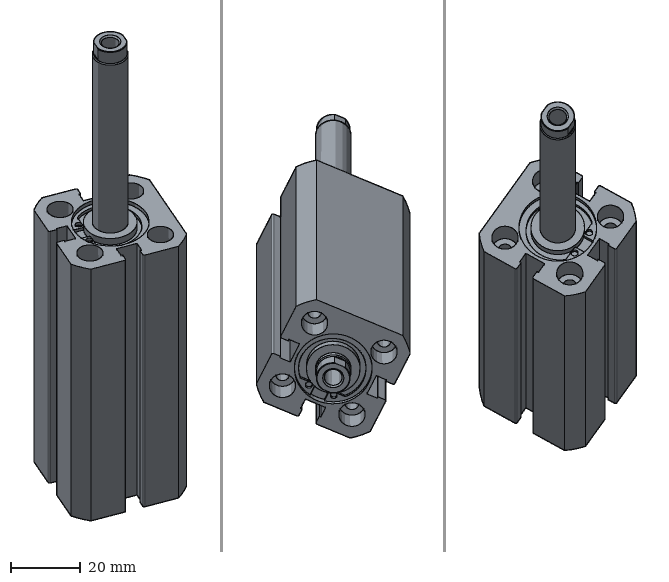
import cadquery as cq
import math

total_length = 164.0
housing_bottom = 6.0
housing_length = 92.0
housing_top = housing_bottom + housing_length

housing_width = 36.0
corner_radius = 22.6
bore_diameter = 22.3

slot_mouth_width = 5.4
slot_inner_width = 6.4
slot_lip_depth = 2.6
slot_depth = 5.9
slot_edge_radius = 0.5

mount_spacing = 22.0
mount_hole_diameter = 4.0
counterbore_diameter = 7.5
counterbore_depth = 7.4

rod_diameter = 10.3
shoulder_chamfer = 0.5
neck_diameter = 9.7
neck_length = 4.1
neck_tip_chamfer = 0.2
flat_width = 3.5
thread_hole_diameter = 5.1
thread_mouth_diameter = 6.0
thread_hole_depth = 11.5
drill_tip_angle = 118.0

boss_diameter = 15.4
cover_face_depth = 2.3
cover_length = 13.1

ring_thickness = 1.0
ring_inner_diameter = 19.4
ring_inner_offset = 0.7
lug_top = 7.2
lug_gap = 4.5
lug_hole_diameter = 2.0
lug_hole_x = 4.0
lug_hole_y = 8.2


def slot_cutter(angle):
    """Slot opening on the -Y side, turned about Z by the given angle."""
    half_width = housing_width / 2
    half_mouth = slot_mouth_width / 2
    half_inner = slot_inner_width / 2
    lip = -half_width + slot_lip_depth
    floor = -half_width + slot_depth
    lip_edge = -half_width + slot_edge_radius
    cutter = (
        cq.Workplane("XY")
        .moveTo(-half_mouth - slot_edge_radius, -half_width)
        .radiusArc((-half_mouth, lip_edge), -slot_edge_radius)
        .lineTo(-half_mouth, lip)
        .lineTo(-half_inner, lip)
        .lineTo(-half_inner, floor)
        .lineTo(half_inner, floor)
        .lineTo(half_inner, lip)
        .lineTo(half_mouth, lip)
        .lineTo(half_mouth, lip_edge)
        .radiusArc((half_mouth + slot_edge_radius, -half_width), -slot_edge_radius)
        .close().extrude(housing_length)
    )
    return cutter.rotate((0, 0, 0), (0, 0, 1), angle)


def make_housing():
    """Extruded housing with bore, mounting holes and slots on three sides."""
    body = cq.Workplane("XY").rect(housing_width, housing_width).extrude(housing_length)
    body = body.intersect(cq.Workplane("XY").circle(corner_radius).extrude(housing_length))
    body = body.cut(cq.Workplane("XY").circle(bore_diameter / 2).extrude(housing_length))

    for face in (">Z", "<Z"):
        body = (
            body.faces(face).workplane(origin=(0, 0, 0))
            .rect(mount_spacing, mount_spacing, forConstruction=True).vertices()
            .cboreHole(mount_hole_diameter, counterbore_diameter, counterbore_depth)
        )

    for angle in (0, 90, -90):
        body = body.cut(slot_cutter(angle))
    return body.translate((0, 0, housing_bottom))


def thread_hole_cutter():
    """Countersunk blind hole with a drill-point bottom, in the upper rod end."""
    radius = thread_hole_diameter / 2
    mouth_radius = thread_mouth_diameter / 2
    bottom = total_length - thread_hole_depth
    tip = bottom - radius / math.tan(math.radians(drill_tip_angle / 2))
    profile = [
        (0, total_length),
        (mouth_radius, total_length),
        (radius, total_length - (mouth_radius - radius)),
        (radius, bottom),
        (0, tip),
    ]
    return cq.Workplane("XZ").polyline(profile).close().revolve(360, (0, 0, 0), (0, 1, 0))


def flats_cutter():
    """Two blocks that leave parallel flats on the -Y and +Y sides of the upper neck."""
    neck_radius = neck_diameter / 2
    flat_distance = math.sqrt(neck_radius ** 2 - (flat_width / 2) ** 2)
    outside = cq.Workplane("XY").rect(2 * neck_diameter, 2 * neck_diameter).extrude(neck_length)
    between = cq.Workplane("XY").rect(2 * neck_diameter, 2 * flat_distance).extrude(neck_length)
    return outside.cut(between).translate((0, 0, total_length - neck_length))


def make_rod():
    """Through rod with a necked, flatted and threaded-hole end at both ends."""
    shank_length = total_length - 2 * neck_length
    rod = cq.Workplane("XY").circle(rod_diameter / 2).extrude(shank_length)
    rod = rod.edges().chamfer(shoulder_chamfer)
    rod = rod.translate((0, 0, neck_length))
    core = cq.Workplane("XY").circle(neck_diameter / 2).extrude(total_length)
    core = core.edges().chamfer(neck_tip_chamfer)
    rod = rod.union(core)

    for cutter in (flats_cutter(), thread_hole_cutter()):
        opposite = cutter.mirror("XY", (0, 0, total_length / 2))
        rod = rod.cut(cutter).cut(opposite)
    return rod


def make_top_cover():
    """Stepped bush that closes the upper end of the bore and guides the rod."""
    body_length = cover_length - cover_face_depth
    cover = cq.Workplane("XY").circle(bore_diameter / 2).extrude(body_length)
    cover = cover.union(cq.Workplane("XY").circle(boss_diameter / 2).extrude(cover_length))
    cover = cover.cut(cq.Workplane("XY").circle(rod_diameter / 2).extrude(cover_length))
    return cover.translate((0, 0, housing_top - cover_length))


def make_top_ring():
    """Internal retaining ring lying on the upper cover, with its two lugs on the -Y side."""
    bore_radius = bore_diameter / 2
    disc = cq.Workplane("XY").circle(bore_radius).extrude(ring_thickness)
    opening = (
        cq.Workplane("XY").center(0, -ring_inner_offset)
        .circle(ring_inner_diameter / 2).extrude(ring_thickness)
    )
    lug_height = bore_radius - lug_top
    lugs = (
        cq.Workplane("XY").center(0, -lug_top - lug_height / 2)
        .rect(bore_diameter, lug_height).extrude(ring_thickness)
    )
    gap = (
        cq.Workplane("XY").center(0, -bore_radius)
        .rect(lug_gap, bore_diameter).extrude(ring_thickness)
    )
    lug_holes = (
        cq.Workplane("XY").pushPoints([(-lug_hole_x, -lug_hole_y), (lug_hole_x, -lug_hole_y)])
        .circle(lug_hole_diameter / 2).extrude(ring_thickness)
    )
    boss = cq.Workplane("XY").circle(boss_diameter / 2).extrude(ring_thickness)

    ring = disc.cut(opening.cut(lugs)).cut(gap).cut(lug_holes).cut(boss)
    return ring.translate((0, 0, housing_top - cover_face_depth))


def at_both_ends(top_body):
    """The given upper body and its mirror image at the lower end of the housing."""
    middle = housing_bottom + housing_length / 2
    return [top_body.val(), top_body.mirror("XY", (0, 0, middle)).val()]


housing = make_housing()
rod = make_rod()
covers = at_both_ends(make_top_cover())
rings = at_both_ends(make_top_ring())

result = cq.Compound.makeCompound([housing.val(), rod.val(), *covers, *rings])